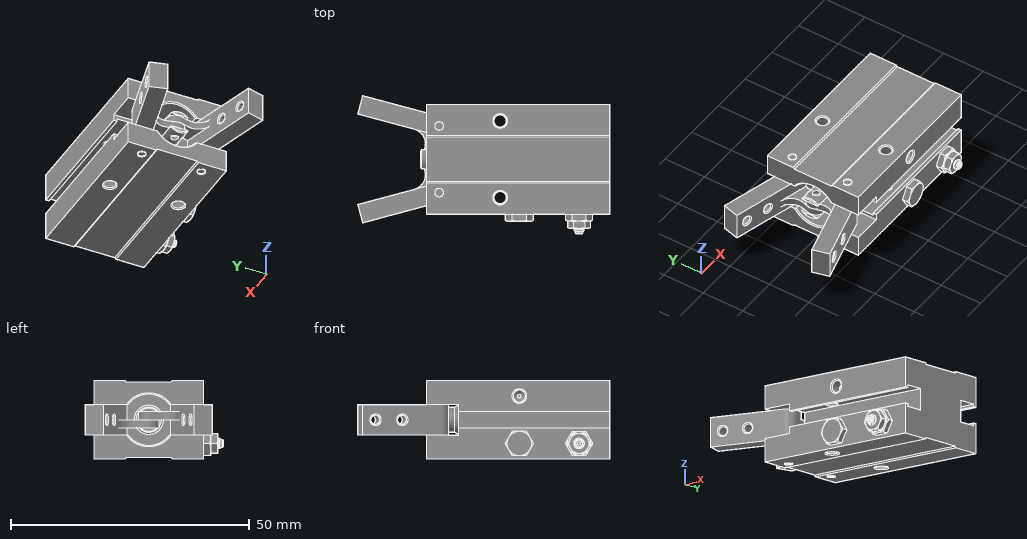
import cadquery as cq
import math

OVERALL_LENGTH = 52.95

HOUSING_LENGTH = 38.55
HOUSING_WIDTH = 23.1
HOUSING_HEIGHT = 16.5
SIDE_Y = HOUSING_WIDTH / 2
TOP_Z = HOUSING_HEIGHT / 2

RELIEF_OUTER_WIDTH = 9.95
RELIEF_FLOOR_WIDTH = 9.3
RELIEF_DEPTH = 0.3

FINGER_HEIGHT = 6.4
FINGER_THICKNESS = 4.0
OPEN_ANGLE = 15
PIVOT_X = 2.7
PIVOT_Y = 7.0
SLOT_DEPTH = 6.7
PIVOT_PIN_RADIUS = 0.9
PIN_END_RECESS = 0.2

FINGER_HOLE_RADIUS = 0.95
FINGER_HOLE_RIM_RADIUS = 1.2
FINGER_HOLE_TIP_DISTANCE = 2.8
FINGER_HOLE_SPACING = 5.8
FINGER_HOLE_COUNT = 2

LEVER_HEIGHT = 1.7
LEVER_EYE_RADIUS = 2.1
LEVER_FILLET = 3.1
CROSS_HOLE_RADIUS = 0.8

BORE_RADIUS = 5.4
BORE_CHAMFER = 0.25

ROD_RADIUS = 2.65
ROD_FRONT_X = -1.15
ROD_END_X = 13.25
ROD_CHAMFER = 0.2
SHOULDER_RADIUS = 3.05
SHOULDER_START_X = 5.9
FORK_DEPTH = 5.8

GROOVE_MOUTH = 3.5
GROOVE_INNER_HEIGHT = 4.65
GROOVE_LIP = 0.8
GROOVE_DEPTH = 5.0

MOUNT_X = 15.5
MOUNT_Y = 8.05
MOUNT_RADIUS = 1.25
MOUNT_RIM_RADIUS = 1.55

PORT_X = 19.55
PORT_Z = 5.0
PORT_RADIUS = 1.25
PORT_RIM_RADIUS = 1.55
PORT_DEPTH = 2.65
PORT_CONE_DEPTH = 0.65
PORT_FLOOR_RADIUS = 0.35
VALVE_X = 32.1
NUT_BEVEL_ANGLE = 30
PLUG_FLATS = 5.15
PLUG_HEIGHT = 1.5
VALVE_BASE_FLATS = 5.0
VALVE_BASE_HEIGHT = 1.45
VALVE_NUT_FLATS = 4.2
VALVE_NUT_HEIGHT = 1.55
STEM_NECK_RADIUS = 0.9
STEM_RADIUS = 1.1
STEM_NOSE_RADIUS = 0.85
STEM_TIP_RADIUS = 0.7
STEM_NECK_LENGTH = 0.15
STEM_FLARE_LENGTH = 0.15
STEM_CONE_LENGTH = 0.35
STEM_LENGTH = 1.15
STEM_TIP_CHAMFER = 0.15
STEM_HOLE_RADIUS = 0.3
STEM_HOLE_DEPTH = 0.3

OPEN_RADIANS = math.radians(OPEN_ANGLE)
FINGER_HALF = FINGER_THICKNESS / 2

TIP_REACH = OVERALL_LENGTH - HOUSING_LENGTH + PIVOT_X
FINGER_LENGTH = (TIP_REACH - FINGER_HALF * math.sin(OPEN_RADIANS)) / math.cos(OPEN_RADIANS)

EYE_X = 1.2
EYE_U = (PIVOT_X - EYE_X) * math.cos(OPEN_RADIANS) - PIVOT_Y * math.sin(OPEN_RADIANS)
EYE_V = (PIVOT_X - EYE_X) * math.sin(OPEN_RADIANS) + PIVOT_Y * math.cos(OPEN_RADIANS)


def box_between(x0, x1, y0, y1, z0, z1):
    return cq.Workplane("XY").box(x1 - x0, y1 - y0, z1 - z0, centered=False).translate((x0, y0, z0))


def countersunk_cutter(length, radius, rim_radius):
    """Cutter along +Z from Z = 0, widened by a 45 degree countersink at both ends."""
    rim = rim_radius - radius
    return (
        cq.Workplane("XZ")
        .polyline([
            (0, 0),
            (rim_radius, 0),
            (radius, rim),
            (radius, length - rim),
            (rim_radius, length),
            (0, length),
        ])
        .close()
        .revolve(360, (0, 0, 0), (0, 1, 0))
    )


def point_out_of_side(shape, x, z):
    """Turn a shape built along +Z so that it stands on the -Y side at (x, z)."""
    return shape.rotate((0, 0, 0), (1, 0, 0), 90).translate((x, -SIDE_Y, z))


def hex_nut(flats, height, chamfer_both_ends):
    """Hexagonal nut with corners on X whose ends are turned down to circles."""
    corner_radius = flats / math.sqrt(3)
    end_radius = flats / 2
    bevel = (corner_radius - end_radius) * math.tan(math.radians(NUT_BEVEL_ANGLE))
    base_radius = end_radius if chamfer_both_ends else corner_radius
    turned = (
        cq.Workplane("XZ")
        .polyline([
            (0, 0),
            (base_radius, 0),
            (corner_radius, bevel),
            (corner_radius, height - bevel),
            (end_radius, height),
            (0, height),
        ])
        .close()
        .revolve(360, (0, 0, 0), (0, 1, 0))
    )
    return cq.Workplane("XY").polygon(6, 2 * corner_radius).extrude(height).intersect(turned)


def valve_stem():
    neck_end = STEM_NECK_LENGTH
    flare_end = neck_end + STEM_FLARE_LENGTH
    cone_end = flare_end + STEM_CONE_LENGTH
    stem = (
        cq.Workplane("XZ")
        .polyline([
            (0, 0),
            (STEM_NECK_RADIUS, 0),
            (STEM_NECK_RADIUS, neck_end),
            (STEM_RADIUS, flare_end),
            (STEM_NOSE_RADIUS, cone_end),
            (STEM_NOSE_RADIUS, STEM_LENGTH - STEM_TIP_CHAMFER),
            (STEM_TIP_RADIUS, STEM_LENGTH),
            (0, STEM_LENGTH),
        ])
        .close()
        .revolve(360, (0, 0, 0), (0, 1, 0))
    )
    return stem.faces(">Z").workplane().circle(STEM_HOLE_RADIUS).cutBlind(-STEM_HOLE_DEPTH)


def throttle_valve():
    base = hex_nut(VALVE_BASE_FLATS, VALVE_BASE_HEIGHT, False)
    nut = hex_nut(VALVE_NUT_FLATS, VALVE_NUT_HEIGHT, True).translate((0, 0, VALVE_BASE_HEIGHT))
    stem = valve_stem().translate((0, 0, VALVE_BASE_HEIGHT + VALVE_NUT_HEIGHT))
    return base.union(nut).union(stem)


def port_cutter():
    """Air port along -Z from Z = 0, with a countersunk rim and a conical bottom."""
    rim = PORT_RIM_RADIUS - PORT_RADIUS
    return (
        cq.Workplane("XZ")
        .polyline([
            (0, 0),
            (PORT_RIM_RADIUS, 0),
            (PORT_RADIUS, -rim),
            (PORT_RADIUS, -PORT_DEPTH),
            (PORT_FLOOR_RADIUS, -PORT_DEPTH - PORT_CONE_DEPTH),
            (0, -PORT_DEPTH - PORT_CONE_DEPTH),
        ])
        .close()
        .revolve(360, (0, 0, 0), (0, 1, 0))
    )


def relief_cutter():
    """Trapezoidal channel along the whole top face."""
    floor_z = TOP_Z - RELIEF_DEPTH
    return (
        cq.Workplane("YZ")
        .polyline([
            (-RELIEF_OUTER_WIDTH / 2, TOP_Z),
            (RELIEF_OUTER_WIDTH / 2, TOP_Z),
            (RELIEF_FLOOR_WIDTH / 2, floor_z),
            (-RELIEF_FLOOR_WIDTH / 2, floor_z),
        ])
        .close()
        .extrude(HOUSING_LENGTH)
    )


def groove_cutter():
    """Sensor groove along the -Y side, wider behind its two lips."""
    floor_y = -SIDE_Y + GROOVE_DEPTH
    mouth = box_between(0, HOUSING_LENGTH, -SIDE_Y, floor_y, -GROOVE_MOUTH / 2, GROOVE_MOUTH / 2)
    inside = box_between(
        0, HOUSING_LENGTH, -SIDE_Y + GROOVE_LIP, floor_y, -GROOVE_INNER_HEIGHT / 2, GROOVE_INNER_HEIGHT / 2
    )
    return mouth.union(inside)


def front_opening_cutter():
    """Chamfered round opening together with the finger slot across the full width."""
    bore = (
        cq.Workplane("XY")
        .polyline([
            (0, 0),
            (0, BORE_RADIUS + BORE_CHAMFER),
            (BORE_CHAMFER, BORE_RADIUS),
            (SLOT_DEPTH, BORE_RADIUS),
            (SLOT_DEPTH, 0),
        ])
        .close()
        .revolve(360, (0, 0, 0), (1, 0, 0))
    )
    slot = box_between(0, SLOT_DEPTH, -SIDE_Y, SIDE_Y, -FINGER_HEIGHT / 2, FINGER_HEIGHT / 2)
    return bore.union(slot)


def rod_envelope():
    """Turned shape of the rod before the fork is cut, with a cone that meets the slot floor."""
    return (
        cq.Workplane("XY")
        .polyline([
            (ROD_FRONT_X, 0),
            (ROD_FRONT_X, ROD_RADIUS - ROD_CHAMFER),
            (ROD_FRONT_X + ROD_CHAMFER, ROD_RADIUS),
            (SHOULDER_START_X, ROD_RADIUS),
            (SLOT_DEPTH, SHOULDER_RADIUS),
            (ROD_END_X, SHOULDER_RADIUS),
            (ROD_END_X, 0),
        ])
        .close()
        .revolve(360, (0, 0, 0), (1, 0, 0))
    )


def make_housing():
    """Housing with its grooves, holes, fixed pivot pins, plug and throttle valve."""
    housing = box_between(0, HOUSING_LENGTH, -SIDE_Y, SIDE_Y, -TOP_Z, TOP_Z)
    housing = housing.cut(relief_cutter()).cut(relief_cutter().mirror("XY"))
    housing = housing.cut(groove_cutter()).cut(groove_cutter().mirror("XZ"))
    housing = housing.cut(front_opening_cutter()).cut(rod_envelope())
    mount = countersunk_cutter(HOUSING_HEIGHT, MOUNT_RADIUS, MOUNT_RIM_RADIUS)
    pin_hole = cq.Workplane("XY").circle(PIVOT_PIN_RADIUS).extrude(HOUSING_HEIGHT)
    pin = cq.Workplane("XY").circle(PIVOT_PIN_RADIUS).extrude(HOUSING_HEIGHT - 2 * PIN_END_RECESS)
    for side in (-1, 1):
        housing = housing.cut(mount.translate((MOUNT_X, side * MOUNT_Y, -TOP_Z)))
        housing = housing.cut(pin_hole.translate((PIVOT_X, side * PIVOT_Y, -TOP_Z)))
        housing = housing.union(pin.translate((PIVOT_X, side * PIVOT_Y, -TOP_Z + PIN_END_RECESS)))
    housing = housing.cut(point_out_of_side(port_cutter(), PORT_X, PORT_Z))
    plug = hex_nut(PLUG_FLATS, PLUG_HEIGHT, False)
    housing = housing.union(point_out_of_side(plug, PORT_X, -PORT_Z))
    return housing.union(point_out_of_side(throttle_valve(), VALVE_X, -PORT_Z))


def finger_bar():
    """Bar along +U (X here) with two threaded holes; its outer rear corner is round about the pivot."""
    corner_middle = FINGER_HALF * math.sqrt(0.5)
    bar = (
        cq.Workplane("XY")
        .moveTo(FINGER_LENGTH, -FINGER_HALF)
        .lineTo(FINGER_LENGTH, FINGER_HALF)
        .lineTo(-FINGER_HALF, FINGER_HALF)
        .lineTo(-FINGER_HALF, 0)
        .threePointArc((-corner_middle, -corner_middle), (0, -FINGER_HALF))
        .close()
        .extrude(FINGER_HEIGHT / 2, both=True)
    )
    hole = (
        countersunk_cutter(FINGER_THICKNESS, FINGER_HOLE_RADIUS, FINGER_HOLE_RIM_RADIUS)
        .rotate((0, 0, 0), (1, 0, 0), 90)
    )
    for index in range(FINGER_HOLE_COUNT):
        hole_u = FINGER_LENGTH - FINGER_HOLE_TIP_DISTANCE - index * FINGER_HOLE_SPACING
        bar = bar.cut(hole.translate((hole_u, FINGER_HALF, 0)))
    return bar


def lever():
    """Flat arm from the pivot to the eye, at V > 0, with Z from 0 to its height."""
    front_u = EYE_U + LEVER_EYE_RADIUS
    fillet_top_v = FINGER_HALF + LEVER_FILLET
    fillet_middle = LEVER_FILLET * (1 - math.sqrt(0.5))
    arm = (
        cq.Workplane("XY")
        .moveTo(-FINGER_HALF, 0)
        .lineTo(front_u + LEVER_FILLET, 0)
        .lineTo(front_u + LEVER_FILLET, FINGER_HALF)
        .threePointArc((front_u + fillet_middle, FINGER_HALF + fillet_middle), (front_u, fillet_top_v))
        .lineTo(front_u, EYE_V)
        .lineTo(-FINGER_HALF, EYE_V)
        .close()
        .extrude(LEVER_HEIGHT)
    )
    eye = cq.Workplane("XY").center(EYE_U, EYE_V).circle(LEVER_EYE_RADIUS).extrude(LEVER_HEIGHT)
    cross_hole = cq.Workplane("XY").center(EYE_U, EYE_V).circle(CROSS_HOLE_RADIUS).extrude(LEVER_HEIGHT)
    return arm.union(eye).cut(cross_hole)


def make_finger(side):
    """Finger on the given Y side; the -Y finger has the upper lever."""
    pivot_hole = cq.Workplane("XY").circle(PIVOT_PIN_RADIUS).extrude(FINGER_HEIGHT, both=True)
    finger = finger_bar().union(lever()).cut(pivot_hole)
    finger = finger.mirror("YZ").rotate((0, 0, 0), (0, 0, 1), OPEN_ANGLE)
    finger = finger.translate((PIVOT_X, -PIVOT_Y, 0))
    if side > 0:
        finger = finger.rotate((0, 0, 0), (1, 0, 0), 180)
    return finger


def make_rod():
    """Piston rod with a fork for the two levers and a cross hole through the fork."""
    fork = box_between(
        ROD_FRONT_X, ROD_FRONT_X + FORK_DEPTH, -SHOULDER_RADIUS, SHOULDER_RADIUS, -LEVER_HEIGHT, LEVER_HEIGHT
    )
    cross_hole = (
        cq.Workplane("XY").center(EYE_X, 0).circle(CROSS_HOLE_RADIUS).extrude(SHOULDER_RADIUS, both=True)
    )
    return rod_envelope().cut(fork).cut(cross_hole)


housing = make_housing()
rod = make_rod()
fingers = [make_finger(side).val() for side in (-1, 1)]

result = cq.Compound.makeCompound([housing.val(), rod.val(), *fingers])